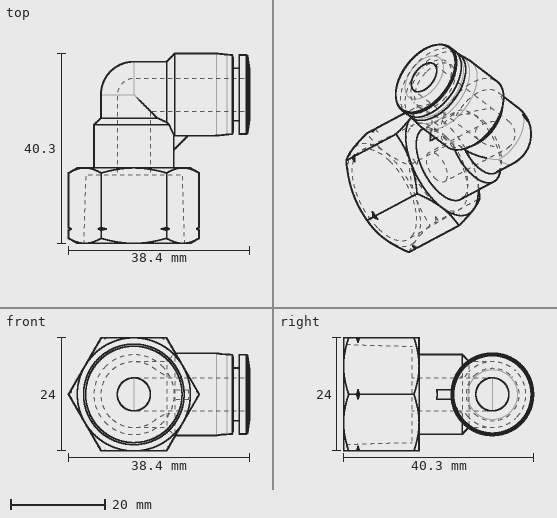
import cadquery as cq
import math

OVERALL_LENGTH = 40.25

elbow_radius = 7.0
passage_radius = 3.5

sleeve_radius = 8.75
sleeve_cone_start = 6.92
sleeve_cone_end = 8.65
sleeve_taper_start = 17.5
sleeve_taper_end = 19.72
sleeve_taper_radius = 8.5
sleeve_rim_start = 20.85
sleeve_rim_radius = 8.4
sleeve_end = 21.0
sleeve_end_radius = 7.85

ring_neck_radius = 5.6
ring_start = 22.3
ring_radius = 8.4
ring_round_start = 23.83
ring_round_end = 24.1
ring_round_end_radius = 8.2
ring_end = 24.55
ring_face_radius = 5.27

collar_radius = 8.5
collar_cone_start = 5.0
collar_cone_end = 6.4

hex_flats = 24.0
hex_start = 15.55
hex_end = OVERALL_LENGTH - sleeve_radius
hex_length = hex_end - hex_start
hex_corner_radius = hex_flats / 2 / math.cos(math.radians(30))
hex_chamfer_angle = 30
hex_chamfer_height = (hex_corner_radius - hex_flats / 2) * math.tan(math.radians(hex_chamfer_angle))
groove_center = 28.45
groove_half_width = 0.3
groove_bottom_radius = 13.32

socket_mouth_radius = 10.65
socket_floor_radius = 10.22
socket_depth = 14.5

web_leg = 20.2
web_thickness = 2.0


def revolve_along_x(outline):
    """Revolve (position, radius) points about the branch axis."""
    return cq.Workplane("XY").polyline(outline).close().revolve(360, (0, 0, 0), (1, 0, 0))


def revolve_along_inlet(outline):
    """Revolve (distance along -Y, radius) points about the inlet axis."""
    points = [(radius, -distance) for distance, radius in outline]
    return cq.Workplane("XY").polyline(points).close().revolve(360, (0, 0, 0), (0, 1, 0))


def make_branch():
    return revolve_along_x([
        (0, 0),
        (0, elbow_radius),
        (sleeve_cone_start, elbow_radius),
        (sleeve_cone_end, sleeve_radius),
        (sleeve_taper_start, sleeve_radius),
        (sleeve_taper_end, sleeve_taper_radius),
        (sleeve_rim_start, sleeve_rim_radius),
        (sleeve_end, sleeve_end_radius),
        (sleeve_end, ring_neck_radius),
        (ring_start, ring_neck_radius),
        (ring_start, ring_radius),
        (ring_round_start, ring_radius),
        (ring_round_end, ring_round_end_radius),
        (ring_end, ring_face_radius),
        (ring_end, 0),
    ])


def make_inlet():
    return revolve_along_inlet([
        (0, 0),
        (0, elbow_radius),
        (collar_cone_start, elbow_radius),
        (collar_cone_end, collar_radius),
        (hex_start, collar_radius),
        (hex_start, 0),
    ])


def make_nut():
    hexagon = (
        cq.Workplane("XZ", origin=(0, -hex_start, 0))
        .polygon(6, 2 * hex_corner_radius)
        .extrude(hex_length)
    )
    envelope = revolve_along_inlet([
        (hex_start, 0),
        (hex_start, hex_flats / 2),
        (hex_start + hex_chamfer_height, hex_corner_radius),
        (groove_center - groove_half_width, hex_corner_radius),
        (groove_center, groove_bottom_radius),
        (groove_center + groove_half_width, hex_corner_radius),
        (hex_end - hex_chamfer_height, hex_corner_radius),
        (hex_end, hex_flats / 2),
        (hex_end, 0),
    ])
    return hexagon.intersect(envelope)


def make_web():
    return (
        cq.Workplane("XY")
        .polyline([(0, 0), (web_leg, 0), (0, -web_leg)])
        .close()
        .extrude(web_thickness / 2, both=True)
    )


def make_passage():
    """Bent bore with a spherical turn, opening into the tapered socket."""
    branch_bore = cq.Workplane("YZ").circle(passage_radius).extrude(ring_end)
    inlet_bore = cq.Workplane("XZ").circle(passage_radius).extrude(hex_end)
    turn = cq.Workplane("XY").sphere(passage_radius)
    socket = revolve_along_inlet([
        (hex_end - socket_depth, 0),
        (hex_end - socket_depth, socket_floor_radius),
        (hex_end, socket_mouth_radius),
        (hex_end, 0),
    ])
    return branch_bore.union(inlet_bore).union(turn).union(socket)


outer_turn = cq.Workplane("XY").sphere(elbow_radius)
body = make_branch().union(make_inlet()).union(outer_turn).union(make_nut()).union(make_web())
result = body.cut(make_passage())